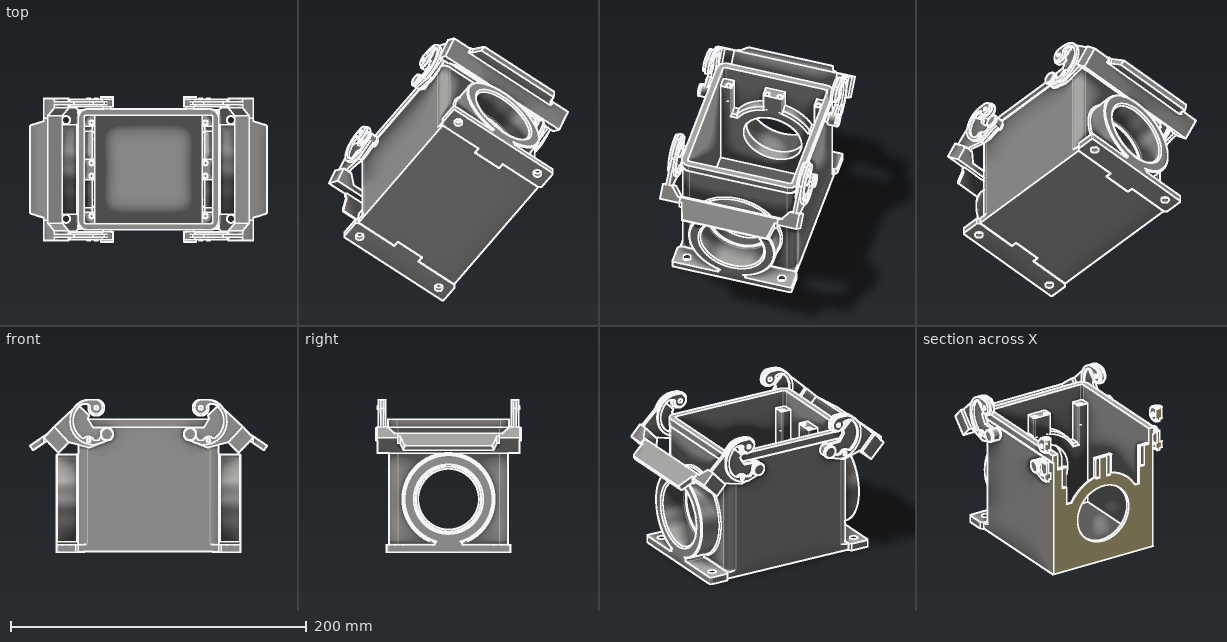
import cadquery as cq
import math

body_length = 95.0
body_width = 80.8
body_corner_radius = 6.0
body_bottom_z = 0.5
rim_bottom_z = 84.6
rim_top_z = 90.2
rim_side_step = 0.55
rim_end_step = 0.1
cavity_length = 87.2
cavity_width = 73.4
cavity_corner_radius = 1.5
floor_z = 4.5

overall_length = 124.8
flange_width = 84.0
flange_top_z = 5.0
flange_inner_x = 49.2
flange_corner_radius = 1.0
flange_hole_radius = 2.7
flange_hole_x = 55.8
flange_hole_y = 33.4

entry_z = 36.0
entry_radius = 30.4
entry_edge_chamfer = 0.7
root_radius = 1.0
thread_bore_radius = 22.4
thread_bore_chamfer = 1.2
thread_end_radius = 22.0
thread_end_length = 1.4
through_bore_radius = 20.5
web_slot_radius = 1.1
web_slot_y = 10.2

pad_inner_x = 36.5
pad_radius = 29.7
pad_edge_chamfer = 1.6
ledge_z = 50.8
pillar_top_z = 78.6
corner_pillar_inner_y = 29.1
centre_pillar_width = 13.6
pillar_edge_radius = 0.8
screw_hole_radius = 1.3
screw_hole_chamfer = 0.4
screw_hole_depth = 15.0
screw_hole_x = 38.5
screw_hole_ys = (4.35, 31.6)

plate_inner_y = 43.7
plate_outer_y = 45.9
cheek_inner_y = 42.3
cheek_outer_y = 47.6
cheek_mid_inset = 0.4
pivot_x = -28.1
pivot_z = 80.0
pivot_radius = 4.2
pivot_tangent_angle = 290
pivot_neck_angles = (150, 200)
pin_radius = 2.65
pin_head_radius = 4.35
pin_head_chamfer = 0.4
pin_head_outer_y = 49.25
hook_x = -35.4
hook_z = 97.9
hook_head_radius = 4.2
hook_roller_radius = 5.54
crescent_x = -37.05
crescent_z = 88.9
crescent_outer_radius = 16.1
crescent_inner_radius = 13.9
crescent_start_angle = 148
crescent_end_angle = 274
crescent_inner_start_angle = 236
crescent_inner_end_angle = 135
hook_slot_crown = (-43.6, 100.3)
hook_slot_angle = 165
hook_nose = (-32.1, 101.2)
hook_back_x = -40.1
hook_back_radius = 11.8
hook_back_mid_angle = 120
rivet_radius = 1.4
rivet_outer_y = 48.1
rivet_chamfer = 0.4
rivet_recess_depth = 0.4
lower_rivet_x = -40.5
lower_rivet_z = 75.9
lower_rivet_boss_radius = 2.6
rivet_boss_foot = (-43.5, 77.4)
cheek_waist_start_x = -33.8
cheek_waist_end_x = -37.1
cheek_waist_z = 76.0
plate_jaw = [(-46.4, 98.7), (-40.0, 92.6), (-41.1, 90.4), (-37.4, 84.5)]
plate_heel = [(-40.0, 70.9), (-47.5, 72.8)]

grip_outer_y = 48.1
grip_shoulder_y = 41.6
grip_bar_y = 36.3
grip_top = (-63.8, 85.1)
grip_inner = (-54.0, 74.5)
grip_bottom = (-60.9, 67.2)
grip_outer = (-70.9, 77.5)
bar_drop_share = 0.61
bar_relief_overrun = 0.1
lip_tip_x = -80.35
lip_slope = math.radians(34)
lip_thickness = 3.9
lip_root_half_width = 34.5
lip_base_half_width = 32.7
lip_taper_start_x = -71.0
lip_tip_half_width = 29.8
lip_corner_radius = 1.5

half_length = overall_length / 2
body_end_x = body_length / 2
cavity_end_x = cavity_length / 2
bar_top = (
    grip_top[0] + bar_drop_share * (grip_outer[0] - grip_top[0]),
    grip_top[1] + bar_drop_share * (grip_outer[1] - grip_top[1]),
)
hook_top_z = hook_z + hook_roller_radius
hook_back_z = hook_top_z - hook_back_radius


def box(x0, x1, y0, y1, z0, z1):
    """Box between two opposite corners."""
    return cq.Workplane("XY").box(x1 - x0, y1 - y0, z1 - z0, centered=False).translate((x0, y0, z0))


def rounded_block(length, width, radius, z0, z1):
    """Centred block with rounded vertical corners."""
    return box(-length / 2, length / 2, -width / 2, width / 2, z0, z1).edges("|Z").fillet(radius)


def on_circle(x, z, radius, degrees):
    """Point on a circle in the XZ plane."""
    angle = math.radians(degrees)
    return (x + radius * math.cos(angle), z + radius * math.sin(angle))


def along_y(wire, y0, y1):
    """Extrude an outline drawn on the XZ plane from y0 to y1."""
    return wire.extrude(y0 - y1).translate((0, y0, 0))


def disc(x, z, radius, y0, y1):
    """Cylinder along Y."""
    return along_y(cq.Workplane("XZ").center(x, z).circle(radius), y0, y1)


def both_ends(shape):
    """Shape at the -X end together with its copy at the +X end."""
    return shape.union(shape.mirror("YZ"))


def both_sides(shape):
    """Shape on the +Y side together with its copy on the -Y side."""
    return shape.union(shape.mirror("XZ"))


def make_shell():
    """Outer block and raised rim, before hollowing."""
    body = rounded_block(body_length, body_width, body_corner_radius, body_bottom_z, rim_top_z)
    rim_length = body_length + 2 * rim_end_step
    rim_width = body_width + 2 * rim_side_step
    rim = rounded_block(rim_length, rim_width, body_corner_radius, rim_bottom_z, rim_top_z)
    base = box(-body_end_x, body_end_x, -body_width / 2, body_width / 2, body_bottom_z, flange_top_z)
    return body.union(rim).union(base)


def make_cavity():
    """Open-topped inside of the housing."""
    return rounded_block(cavity_length, cavity_width, cavity_corner_radius, floor_z, rim_top_z)


def make_flange():
    """Mounting flange at the -X end, bevelled towards the body sides."""
    half_width = flange_width / 2
    side_y = body_width / 2
    bevel = half_width - side_y
    outline = [
        (-half_length, -half_width),
        (-flange_inner_x, -half_width),
        (-flange_inner_x + bevel, -side_y),
        (-flange_inner_x + bevel, side_y),
        (-flange_inner_x, half_width),
        (-half_length, half_width),
    ]
    flange = cq.Workplane("XY").polyline(outline).close().extrude(flange_top_z)
    flange = flange.edges("|Z and <X").fillet(flange_corner_radius)
    holes = [(-flange_hole_x, y) for y in (-flange_hole_y, flange_hole_y)]
    drills = cq.Workplane("XY").pushPoints(holes).circle(flange_hole_radius).extrude(flange_top_z)
    return flange.cut(drills)


def root_profile(wall_x):
    """Concave triangular section between a wall facing -X at wall_x and the flange top."""
    return (
        cq.Workplane("XZ")
        .moveTo(wall_x, flange_top_z)
        .lineTo(wall_x - root_radius, flange_top_z)
        .radiusArc((wall_x, flange_top_z + root_radius), -root_radius)
        .close()
    )


def make_wall_root():
    """Concave fillet between the -X end wall, its rounded corners and the flange."""
    straight_half = body_width / 2 - body_corner_radius
    root = along_y(root_profile(-body_end_x), -straight_half, straight_half)
    turn = root_profile(-body_corner_radius).revolve(90, (0, 0, 0), (0, 1, 0))
    turn = turn.translate((body_corner_radius - body_end_x, -straight_half, 0))
    sides = box(-half_length, 0, -body_width / 2, body_width / 2, 0, rim_top_z)
    return root.union(both_sides(turn).intersect(sides))


def make_entry():
    """Cable entry tube at the -X end with its end chamfer, root fillet and web to the flange."""
    tube = (
        cq.Workplane("XY")
        .moveTo(-cavity_end_x, 0)
        .lineTo(-cavity_end_x, entry_radius + root_radius)
        .lineTo(-body_end_x, entry_radius + root_radius)
        .radiusArc((-body_end_x - root_radius, entry_radius), root_radius)
        .lineTo(-half_length + entry_edge_chamfer, entry_radius)
        .lineTo(-half_length, entry_radius - entry_edge_chamfer)
        .lineTo(-half_length, 0)
        .close()
        .revolve(360, (0, 0, 0), (1, 0, 0))
        .translate((0, 0, entry_z))
    )
    web_top_z = entry_z - math.sqrt(entry_radius**2 - web_slot_y**2)
    web = box(-half_length, -cavity_end_x, -web_slot_y, web_slot_y, 0, web_top_z)
    slot_z = flange_top_z + web_slot_radius
    slots = (
        cq.Workplane("YZ")
        .pushPoints([(-web_slot_y, slot_z), (web_slot_y, slot_z)])
        .circle(web_slot_radius)
        .extrude(-half_length)
    )
    return tube.union(web.cut(slots))


def make_entry_bore():
    """Chamfered thread bore and narrower through bore at the -X end."""
    return (
        cq.Workplane("XY")
        .moveTo(-half_length, 0)
        .lineTo(-half_length, thread_bore_radius + thread_bore_chamfer)
        .lineTo(-half_length + thread_bore_chamfer, thread_bore_radius)
        .lineTo(-cavity_end_x - thread_end_length, thread_bore_radius)
        .lineTo(-cavity_end_x, thread_end_radius)
        .lineTo(-cavity_end_x, through_bore_radius)
        .lineTo(-pad_inner_x, through_bore_radius)
        .lineTo(-pad_inner_x, 0)
        .close()
        .revolve(360, (0, 0, 0), (1, 0, 0))
        .translate((0, 0, entry_z))
    )


def make_pad():
    """Thickened inner wall around the -X entry, arched over the bore, with the screw pillars."""
    back_x = -cavity_end_x
    half_width = cavity_width / 2
    block = box(back_x, -pad_inner_x, -half_width, half_width, floor_z, ledge_z)
    arch = (
        cq.Workplane("YZ")
        .center(0, entry_z)
        .circle(pad_radius)
        .extrude(cavity_end_x - pad_inner_x)
        .faces(">X")
        .chamfer(pad_edge_chamfer)
        .translate((back_x, 0, 0))
    )
    arch = arch.intersect(box(back_x, -pad_inner_x, -pad_radius, pad_radius, entry_z, pillar_top_z))
    ledge = block.edges(">X and >Z").chamfer(pad_edge_chamfer)
    half_pillar = centre_pillar_width / 2
    centre = box(back_x, -pad_inner_x, -half_pillar, half_pillar, ledge_z, pillar_top_z)
    centre = centre.edges("|Z and >X").fillet(pillar_edge_radius)
    corner = box(back_x, -pad_inner_x, corner_pillar_inner_y, half_width, floor_z, pillar_top_z)
    corner = corner.edges("|Z and >X and <Y").fillet(pillar_edge_radius)
    pad = ledge.union(arch).union(centre).union(both_sides(corner))
    for hole_y in screw_hole_ys:
        pad = pad.cut(both_sides(make_screw_hole(hole_y)))
    return pad


def make_screw_hole(hole_y):
    """Blind screw hole with a chamfered mouth, opening at the pillar top."""
    hole = cq.Workplane("XY").circle(screw_hole_radius).extrude(-screw_hole_depth)
    mouth_radius = screw_hole_radius + screw_hole_chamfer
    mouth = cq.Workplane("XY").circle(mouth_radius).extrude(-screw_hole_chamfer, taper=45)
    return hole.union(mouth).translate((-screw_hole_x, hole_y, pillar_top_z))


def hook_outline():
    """Crescent cheek that runs from the pivot round to the hooked end."""
    start = on_circle(crescent_x, crescent_z, crescent_outer_radius, crescent_start_angle)
    crescent_end = on_circle(crescent_x, crescent_z, crescent_outer_radius, crescent_end_angle)
    inner_end = on_circle(crescent_x, crescent_z, crescent_inner_radius, crescent_inner_end_angle)
    crescent_mid = (crescent_start_angle + crescent_end_angle) / 2
    inner_mid = (crescent_inner_start_angle + crescent_inner_end_angle) / 2
    slot_end = on_circle(hook_x, hook_z, hook_head_radius, hook_slot_angle)
    return (
        cq.Workplane("XZ")
        .moveTo(*start)
        .threePointArc(on_circle(crescent_x, crescent_z, crescent_outer_radius, crescent_mid), crescent_end)
        .lineTo(*on_circle(pivot_x, pivot_z, pivot_radius, pivot_tangent_angle))
        .threePointArc(
            (pivot_x + pivot_radius, pivot_z),
            on_circle(pivot_x, pivot_z, pivot_radius, pivot_neck_angles[0]),
        )
        .lineTo(*on_circle(pivot_x, pivot_z, pivot_radius, pivot_neck_angles[1]))
        .lineTo(cheek_waist_start_x, cheek_waist_z)
        .lineTo(cheek_waist_end_x, cheek_waist_z)
        .threePointArc((lower_rivet_x, lower_rivet_z + lower_rivet_boss_radius), rivet_boss_foot)
        .lineTo(*on_circle(crescent_x, crescent_z, crescent_inner_radius, crescent_inner_start_angle))
        .threePointArc(on_circle(crescent_x, crescent_z, crescent_inner_radius, inner_mid), inner_end)
        .threePointArc(hook_slot_crown, slot_end)
        .threePointArc(
            (hook_x, hook_z - hook_head_radius),
            (hook_x + hook_head_radius, hook_z),
        )
        .threePointArc(hook_nose, (hook_x, hook_top_z))
        .lineTo(hook_back_x, hook_top_z)
        .threePointArc(on_circle(hook_back_x, hook_back_z, hook_back_radius, hook_back_mid_angle), start)
        .close()
    )


def make_arm():
    """Lever arm on the +Y side: flat plate between two cheeks, with rivets and pivot pin."""
    shoulder = on_circle(crescent_x, crescent_z, crescent_outer_radius, crescent_start_angle)
    plate_outline = (
        cq.Workplane("XZ")
        .moveTo(*grip_top)
        .lineTo(*shoulder)
        .polyline(plate_jaw, includeCurrent=True)
        .lineTo(pivot_x, pivot_z + pivot_radius)
        .threePointArc(
            (pivot_x + pivot_radius, pivot_z),
            on_circle(pivot_x, pivot_z, pivot_radius, pivot_tangent_angle),
        )
        .polyline(plate_heel, includeCurrent=True)
        .lineTo(*grip_inner)
        .close()
    )
    arm = along_y(plate_outline, plate_inner_y, plate_outer_y)
    arm = arm.union(along_y(hook_outline(), cheek_inner_y, plate_inner_y))
    arm = arm.union(along_y(hook_outline(), plate_outer_y, cheek_outer_y))
    arm = arm.union(along_y(hook_outline().offset2D(-cheek_mid_inset), plate_inner_y, plate_outer_y))
    arm = arm.union(disc(hook_x, hook_z, hook_roller_radius, plate_inner_y, plate_outer_y))
    for x, z in ((hook_x, hook_z), (lower_rivet_x, lower_rivet_z)):
        rivet = disc(x, z, rivet_radius, cheek_outer_y, rivet_outer_y).faces(">Y").chamfer(rivet_chamfer)
        recess = disc(x, z, rivet_radius, cheek_inner_y, cheek_inner_y + rivet_recess_depth)
        arm = arm.union(rivet).cut(recess)
    pin_root_y = (cavity_width + body_width) / 4
    pin = disc(pivot_x, pivot_z, pin_radius, pin_root_y, cheek_outer_y)
    head = disc(pivot_x, pivot_z, pin_head_radius, cheek_outer_y, pin_head_outer_y)
    head = head.faces(">Y").chamfer(pin_head_chamfer)
    return arm.union(pin).union(head)


def make_grip():
    """Handle bar joining the two arms, thinned between sloping shoulders, with a tapered finger lip."""
    square = cq.Workplane("XZ").polyline([grip_top, grip_inner, grip_bottom, grip_outer]).close()
    grip = along_y(square, -grip_outer_y, grip_outer_y)
    relief_section = cq.Wire.makePolygon(
        [
            cq.Vector(bar_top[0], -grip_bar_y, bar_top[1]),
            cq.Vector(bar_top[0], grip_bar_y, bar_top[1]),
            cq.Vector(grip_top[0], grip_shoulder_y, grip_top[1]),
            cq.Vector(grip_top[0], -grip_shoulder_y, grip_top[1]),
        ],
        close=True,
    )
    run = cq.Vector(grip_inner[0] - grip_top[0], 0, grip_inner[1] - grip_top[1])
    relief = cq.Solid.extrudeLinear(relief_section, [], run * (1 + 2 * bar_relief_overrun))
    grip = grip.cut(cq.Workplane(relief.translate(run * -bar_relief_overrun)))
    return grip.union(make_lip())


def make_lip():
    """Finger lip sloping down from the bar, tapered in width towards its tip."""
    run_x = bar_top[0] - lip_tip_x
    drop_x = lip_thickness * math.sin(lip_slope)
    drop_z = lip_thickness * math.cos(lip_slope)
    tip_z = bar_top[1] - run_x * math.tan(lip_slope)
    section = [
        bar_top,
        (lip_tip_x, tip_z),
        (lip_tip_x + drop_x, tip_z - drop_z),
        (bar_top[0] + drop_x, bar_top[1] - drop_z),
    ]
    wire = cq.Workplane("XZ").polyline(section).close()
    slab = along_y(wire, -lip_root_half_width, lip_root_half_width)
    plan = [
        (grip_inner[0], -lip_root_half_width),
        (lip_taper_start_x, -lip_root_half_width),
        (lip_taper_start_x, -lip_base_half_width),
        (lip_tip_x, -lip_tip_half_width),
        (lip_tip_x, lip_tip_half_width),
        (lip_taper_start_x, lip_base_half_width),
        (lip_taper_start_x, lip_root_half_width),
        (grip_inner[0], lip_root_half_width),
    ]
    trim = cq.Workplane("XY").polyline(plan).close().extrude(rim_top_z)
    return slab.intersect(trim.edges("|Z and <X").fillet(lip_corner_radius))


def make_lever():
    """Complete lever at the -X end."""
    return both_sides(make_arm()).union(make_grip())


end_fittings = make_flange().union(make_wall_root()).union(make_entry())
housing = make_shell().union(both_ends(end_fittings))
housing = housing.cut(make_cavity()).union(both_ends(make_pad()))
housing = housing.cut(both_ends(make_entry_bore()))
result = housing.union(both_ends(make_lever()))